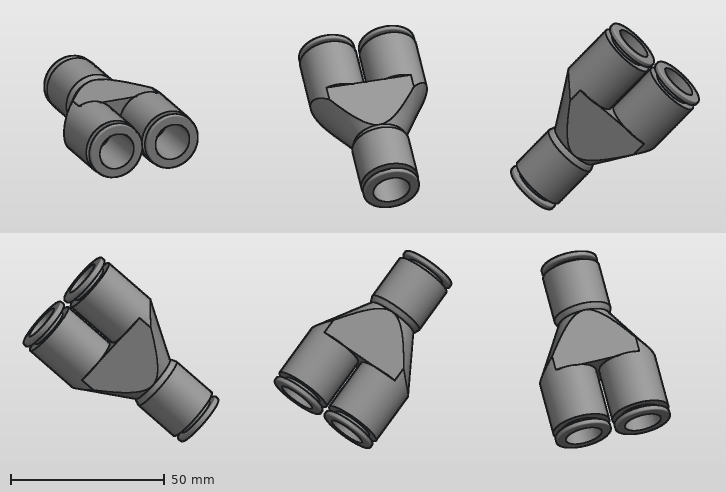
import cadquery as cq

total_length = 60.6
total_width = 38.85
total_height = 19.0
housing_radius = total_height / 2
outlet_offset = total_width / 2 - housing_radius

collar_radius = 9.3
collar_thickness = 1.75
collar_edge_round = 0.5
sleeve_radius = 6.65
housing_start = 3.3
bore_radius = 6.05
bore_depth = 18.2

taper_start = 18.8
taper_end = 20.25
taper_end_radius = 8.9
neck_x = 20.85
neck_radius = 8.55

body_end = 39.3
body_half_height = neck_radius


def collar_with_sleeve():
    """Round-edged release collar on the sleeve that joins it to the housing."""
    collar = cq.Workplane("YZ").circle(collar_radius).extrude(collar_thickness)
    collar = collar.edges().fillet(collar_edge_round)
    sleeve = cq.Workplane("YZ").circle(sleeve_radius).extrude(housing_start)
    return collar.union(sleeve)


def port(back_outline):
    """Housing turned about the X axis, with its release collar and blind tube bore.

    back_outline continues the half profile from the housing's front edge back to the axis.
    """
    front_outline = [(housing_start, 0), (housing_start, housing_radius)]
    profile = cq.Workplane("XY").polyline(front_outline + back_outline).close()
    housing = profile.revolve(360, (0, 0, 0), (1, 0, 0))
    bore = cq.Workplane("YZ").circle(bore_radius).extrude(bore_depth)
    return housing.union(collar_with_sleeve()).cut(bore)


def inlet():
    return port([
        (taper_start, housing_radius),
        (taper_end, taper_end_radius),
        (neck_x, neck_radius),
        (neck_x, 0),
    ])


def outlet(side):
    """Straight port facing +X, on the +Y side (1) or the -Y side (-1)."""
    length = total_length - body_end
    solid = port([(length, housing_radius), (length, 0)])
    facing_out = solid.rotate((0, 0, 0), (0, 0, 1), 180)
    return facing_out.translate((total_length, side * outlet_offset, 0))


def body():
    """Cone flaring to the full width, trimmed to the flat-topped outline around both outlets."""
    length = body_end - neck_x
    neck_centre = cq.Vector(neck_x, 0, 0)
    x_direction = cq.Vector(1, 0, 0)
    cone = cq.Solid.makeCone(neck_radius, total_width / 2, length, neck_centre, x_direction)
    neck_plane = cq.Workplane("YZ", origin=(neck_x, 0, 0))
    envelope = neck_plane.rect(2 * outlet_offset, total_height).extrude(length)
    for y in (-outlet_offset, outlet_offset):
        envelope = envelope.union(neck_plane.center(y, 0).circle(housing_radius).extrude(length))
    slab = neck_plane.rect(total_width, 2 * body_half_height).extrude(length)
    return cq.Workplane(cone).intersect(envelope).intersect(slab)


result = body().union(inlet())
for side in (-1, 1):
    result = result.union(outlet(side))